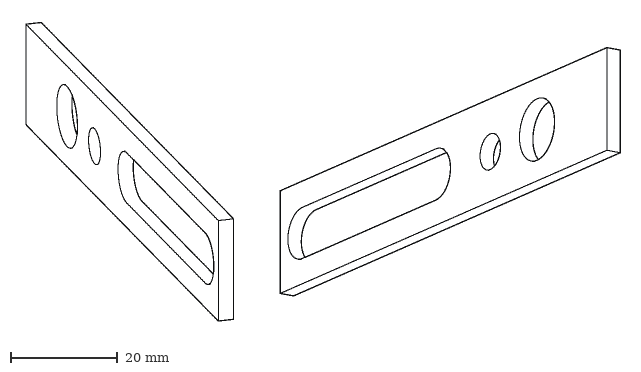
import cadquery as cq

length = 112.0
thickness = 3.0
height = 20.0

large_hole_diameter = 12.0
large_hole_from_end = 24.0
small_hole_diameter = 7.0
small_hole_from_end = 40.0
small_hole_drop = 0.3
slot_width = 10.0
slot_drop = 0.1
slot_start = 53.6
slot_end = 109.3

slot_length = slot_end - slot_start
slot_center = (slot_start + slot_end) / 2


def cutter_sketch(from_end, drop=0.0):
    """Workplane on the bar's back face, centred on a through feature."""
    return cq.Workplane("XZ", origin=(0, thickness / 2, 0)).center(from_end - length / 2, -drop)


def round_hole(diameter, from_end, drop=0.0):
    """Cylinder that cuts a round hole through the full thickness."""
    return cutter_sketch(from_end, drop).circle(diameter / 2).extrude(thickness)


bar = cq.Workplane("XY").box(length, thickness, height)
large_hole = round_hole(large_hole_diameter, large_hole_from_end)
small_hole = round_hole(small_hole_diameter, small_hole_from_end, small_hole_drop)
slot = cutter_sketch(slot_center, slot_drop).slot2D(slot_length, slot_width).extrude(thickness)

result = bar.cut(large_hole).cut(small_hole).cut(slot)